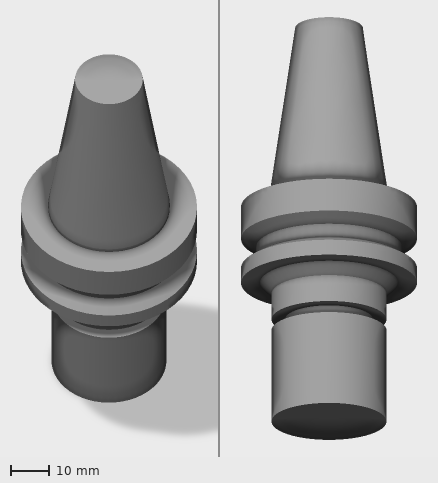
import cadquery as cq

NUT_TOP = 25.0
COLLAR_BOTTOM = 28.1
COLLAR_TOP = 35.2
FLANGE_BOTTOM = 38.2
GROOVE_LOWER_EDGE = 42.3
GROOVE_FLOOR_BOTTOM = 44.5
GROOVE_FLOOR_TOP = 48.0
GROOVE_UPPER_EDGE = 50.3
FLANGE_TOP = 59.1
TAPER_BOTTOM = 60.0
TOTAL_HEIGHT = 108.4

BODY_DIAMETER = 30.0
NECK_DIAMETER = 23.0
FLANGE_DIAMETER = 46.0
FLANGE_UNDERSIDE_DIAMETER = 36.1
GROOVE_DIAMETER = 38.0
TAPER_LARGE_DIAMETER = 31.8
TAPER_SMALL_DIAMETER = 17.7


def make_holder():
    """Revolve the neck, collar, grooved flange and taper shank as one solid."""
    neck = NECK_DIAMETER / 2
    collar = BODY_DIAMETER / 2
    flange = FLANGE_DIAMETER / 2
    groove = GROOVE_DIAMETER / 2
    shank = TAPER_LARGE_DIAMETER / 2
    profile = [
        (0, NUT_TOP),
        (neck, NUT_TOP),
        (neck, COLLAR_BOTTOM),
        (collar, COLLAR_BOTTOM),
        (collar, COLLAR_TOP),
        (FLANGE_UNDERSIDE_DIAMETER / 2, FLANGE_BOTTOM),
        (flange, FLANGE_BOTTOM),
        (flange, GROOVE_LOWER_EDGE),
        (groove, GROOVE_FLOOR_BOTTOM),
        (groove, GROOVE_FLOOR_TOP),
        (flange, GROOVE_UPPER_EDGE),
        (flange, FLANGE_TOP),
        (shank, FLANGE_TOP),
        (shank, TAPER_BOTTOM),
        (TAPER_SMALL_DIAMETER / 2, TOTAL_HEIGHT),
        (0, TOTAL_HEIGHT),
    ]
    return cq.Workplane("XZ").polyline(profile).close().revolve(360, (0, 0), (0, 1))


def make_nut():
    """Plain cylindrical clamping nut, seated against the end of the neck."""
    return cq.Workplane("XY").circle(BODY_DIAMETER / 2).extrude(NUT_TOP)


holder = make_holder()
nut = make_nut()

result = cq.Compound.makeCompound([holder.val(), nut.val()])